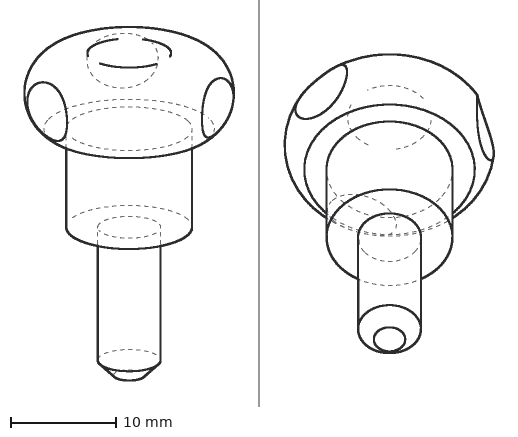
import cadquery as cq
import math

total_height = 33.0
head_height = 8.0
collar_height = 10.0
pin_length = total_height - head_height - collar_height
head_bottom = pin_length + collar_height

head_diameter = 20.0
collar_diameter = 12.0
pin_diameter = 6.0
dish_diameter = 8.0

rim_radius = 4.4
tip_chamfer = pin_diameter / 4

scallop_count = 3
scallop_radius = 15.0
scallop_floor = 9.0
first_scallop_angle = -90


def make_head():
    """Revolve the rounded head, with its slightly sunken flat top."""
    rim_center_x = head_diameter / 2 - rim_radius
    rim_center_z = total_height - rim_radius
    dish_radius = dish_diameter / 2
    dish_z = rim_center_z + math.sqrt(rim_radius**2 - (rim_center_x - dish_radius) ** 2)
    bottom_radius = rim_center_x + math.sqrt(rim_radius**2 - (rim_center_z - head_bottom) ** 2)
    return (
        cq.Workplane("XZ")
        .moveTo(0, head_bottom)
        .lineTo(bottom_radius, head_bottom)
        .threePointArc((head_diameter / 2, rim_center_z), (dish_radius, dish_z))
        .lineTo(0, dish_z)
        .close()
        .revolve(360, (0, 0, 0), (0, 1, 0))
    )


def make_scallops():
    """Cutting cylinders spaced evenly around the head."""
    return (
        cq.Workplane("XY", origin=(0, 0, head_bottom))
        .polarArray(scallop_floor + scallop_radius, first_scallop_angle, 360, scallop_count)
        .circle(scallop_radius)
        .extrude(head_height)
    )


def make_collar():
    return (
        cq.Workplane("XY", origin=(0, 0, pin_length))
        .circle(collar_diameter / 2)
        .extrude(collar_height)
    )


def make_pin():
    return (
        cq.Workplane("XY")
        .circle(pin_diameter / 2)
        .extrude(pin_length)
        .faces("<Z")
        .chamfer(tip_chamfer)
    )


head = make_head()
for scallop in make_scallops().solids().vals():
    head = head.cut(cq.Workplane(scallop))

result = head.union(make_collar()).union(make_pin())